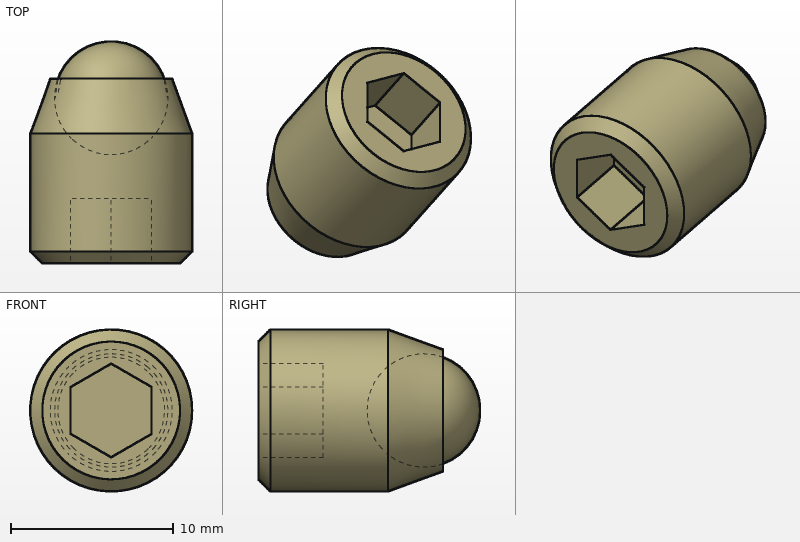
import cadquery as cq
import math

body_radius = 5.0
chamfer = 0.75
overall_length = 13.7
shoulder_y = 8.0
nose_y = 11.4
taper_angle = 20.0
nose_radius = body_radius - (nose_y - shoulder_y) * math.tan(math.radians(taper_angle))

hex_across_flats = 5.0
hex_across_corners = hex_across_flats / math.cos(math.radians(30))
hex_depth = 4.0

ball_radius = 3.5
ball_center_y = overall_length - ball_radius


def make_ball():
    return cq.Workplane("XY").sphere(ball_radius).translate((0, ball_center_y, 0))


def make_hex_socket():
    """Hexagonal prism with two flats facing +X and -X."""
    hexagon = cq.Workplane("XZ").transformed(rotate=(0, 0, 90)).polygon(6, hex_across_corners)
    return hexagon.extrude(-hex_depth)


def make_screw():
    half_profile = (
        cq.Workplane("XY")
        .moveTo(0, 0)
        .lineTo(body_radius - chamfer, 0)
        .lineTo(body_radius, chamfer)
        .lineTo(body_radius, shoulder_y)
        .lineTo(nose_radius, nose_y)
        .lineTo(0, nose_y)
        .close()
    )
    blank = half_profile.revolve(360, (0, 0, 0), (0, 1, 0))
    return blank.cut(make_hex_socket()).cut(make_ball())


screw = make_screw()
ball = make_ball()

result = cq.Compound.makeCompound([screw.val(), ball.val()])